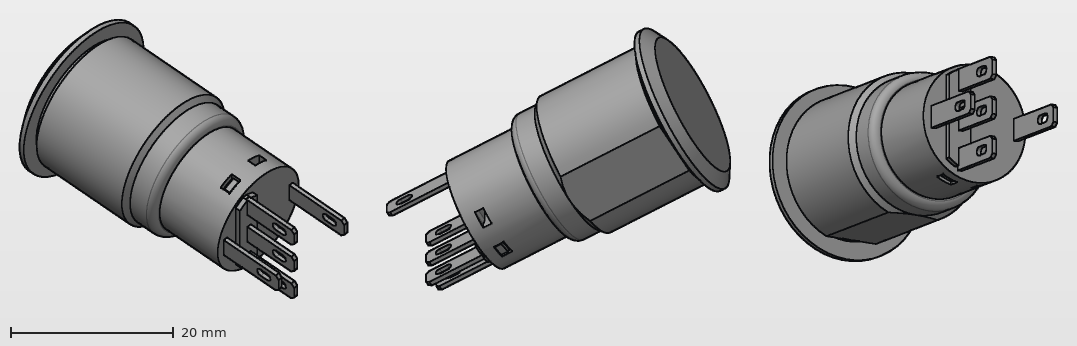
import cadquery as cq
import math


length = 39.8
rim_start_x = 1.15
rim_end_x = 1.87
thread_start_x = 2.6
thread_end_x = 17.4
collar_end_x = 21.15
housing_end_x = 30.73
block_end_x = 31.45

face_radius = 9.2
bezel_radius = 22.0 / 2
neck_radius = 8.7
thread_radius = 9.45
thread_chamfer = thread_radius - neck_radius
collar_round = 1.07
housing_radius = 14.9 / 2

window_start_x = 27.7
window_length = 1.45
window_width = 2.03
window_offset_y = 2.5
window_floor_radius = 12.8 / 2
tab_radius = 7.25
tab_gap_x = 0.25
tab_gap_y = 0.2
tab_nose_chamfer = 0.25
slot_length = 0.95
slot_flare = 0.25
slot_flare_start_z = 5.57
slot_flare_end_z = 6.35

block_front_y = -4.15
block_back_y = -1.0
block_front_top_z = 5.57
block_front_bottom_z = -4.98
block_back_top_z = 5.8
block_bottom_z = -5.8

pin_width = 2.8
pin_thickness = 0.6
pin_tip_chamfer = 0.48
pin_hole_width = 1.1
pin_hole_length = 2.2
pin_hole_to_tip = 2.45
outer_pin_y = 6.0
row_pin_y = -2.45
row_pin_pitch = 5.0
row_pin_start_x = 31.2
row_pin_end_x = 39.15


def box_between(x0, x1, y0, y1, z0, z1):
    size = (x1 - x0, y1 - y0, z1 - z0)
    return cq.Workplane("XY").box(*size, centered=False).translate((x0, y0, z0))


def turned_body():
    round_centre_x = collar_end_x - collar_round
    round_centre_r = neck_radius - collar_round
    round_mid = collar_round * math.sqrt(0.5)
    return (
        cq.Workplane("XY")
        .lineTo(0, face_radius)
        .lineTo(rim_start_x, bezel_radius)
        .lineTo(rim_end_x, bezel_radius)
        .lineTo(rim_end_x, neck_radius)
        .lineTo(thread_start_x, neck_radius)
        .lineTo(thread_start_x, thread_radius)
        .lineTo(thread_end_x - thread_chamfer, thread_radius)
        .lineTo(thread_end_x, neck_radius)
        .lineTo(round_centre_x, neck_radius)
        .threePointArc(
            (round_centre_x + round_mid, round_centre_r + round_mid),
            (collar_end_x, round_centre_r),
        )
        .lineTo(collar_end_x, housing_radius)
        .lineTo(housing_end_x, housing_radius)
        .lineTo(housing_end_x, 0)
        .close()
        .revolve(360, (0, 0, 0), (1, 0, 0))
    )


def barrel_flat():
    """Material below the flat on the underside of the threaded barrel."""
    return box_between(
        thread_start_x, thread_end_x,
        -thread_radius, thread_radius,
        -thread_radius, -neck_radius,
    )


def axial_cylinder(radius):
    return cq.Workplane("YZ").circle(radius).extrude(length)


def window_pockets():
    """Upper and lower pockets on the -Y side, down to the inner core."""
    opening = box_between(
        window_start_x, window_start_x + window_length,
        -window_offset_y - window_width / 2, -window_offset_y + window_width / 2,
        -housing_radius, housing_radius,
    )
    return opening.cut(axial_cylinder(window_floor_radius))


def window_tabs():
    """Snap tabs filling most of each pocket, with a chamfered nose."""
    nose_x = window_start_x + tab_gap_x
    end_x = window_start_x + window_length
    half_width = window_width / 2 - tab_gap_y
    tab_ring = (
        cq.Workplane("XY")
        .moveTo(nose_x, 0)
        .lineTo(nose_x, tab_radius - tab_nose_chamfer)
        .lineTo(nose_x + tab_nose_chamfer, tab_radius)
        .lineTo(end_x, tab_radius)
        .lineTo(end_x, 0)
        .close()
        .revolve(360, (0, 0, 0), (1, 0, 0))
    )
    strip = box_between(
        nose_x, end_x,
        -window_offset_y - half_width, -window_offset_y + half_width,
        -housing_radius, housing_radius,
    )
    return tab_ring.intersect(strip)


def through_slot():
    """Slot on the +Y side, open from top to bottom, with flared mouths."""
    slot_end_x = window_start_x + slot_length
    mouth_end_x = slot_end_x + slot_flare
    return (
        cq.Workplane("XZ", origin=(0, window_offset_y - window_width / 2, 0))
        .polyline([
            (window_start_x, -housing_radius),
            (mouth_end_x, -housing_radius),
            (mouth_end_x, -slot_flare_end_z),
            (slot_end_x, -slot_flare_start_z),
            (slot_end_x, slot_flare_start_z),
            (mouth_end_x, slot_flare_end_z),
            (mouth_end_x, housing_radius),
            (window_start_x, housing_radius),
        ])
        .close()
        .extrude(-window_width)
    )


def terminal_block():
    """Block behind the housing; its front corners are rounded about the switch axis."""
    row_front_y = row_pin_y - pin_thickness / 2
    row_back_y = row_pin_y + pin_thickness / 2
    top_radius = math.hypot(block_front_y, block_front_top_z)
    top_z = math.sqrt(top_radius**2 - row_front_y**2)
    bottom_radius = math.hypot(block_front_y, block_front_bottom_z)
    bottom_corner_y = -math.sqrt(bottom_radius**2 - block_bottom_z**2)
    return (
        cq.Workplane("YZ", origin=(housing_end_x, 0, 0))
        .moveTo(block_front_y, block_front_bottom_z)
        .lineTo(block_front_y, block_front_top_z)
        .radiusArc((row_front_y, top_z), top_radius)
        .lineTo(row_back_y, top_z)
        .lineTo(block_back_y, block_back_top_z)
        .lineTo(block_back_y, block_bottom_z)
        .lineTo(bottom_corner_y, block_bottom_z)
        .radiusArc((block_front_y, block_front_bottom_z), bottom_radius)
        .close()
        .extrude(block_end_x - housing_end_x)
    )


def solder_pin(start_x, end_x, y, z):
    blade = (
        box_between(
            start_x, end_x,
            y - pin_thickness / 2, y + pin_thickness / 2,
            z - pin_width / 2, z + pin_width / 2,
        )
        .edges("|Y and >X")
        .chamfer(pin_tip_chamfer)
    )
    hole = (
        cq.Workplane("XZ", origin=(0, y, 0))
        .center(end_x - pin_hole_to_tip, z)
        .slot2D(pin_hole_length, pin_hole_width)
        .extrude(pin_thickness, both=True)
    )
    return blade.cut(hole)


result = (
    turned_body()
    .cut(barrel_flat())
    .cut(window_pockets())
    .union(window_tabs())
    .cut(through_slot())
    .union(terminal_block())
)

for pin_y in (-outer_pin_y, outer_pin_y):
    result = result.union(solder_pin(housing_end_x, length, pin_y, 0))

for pin_z in (-row_pin_pitch, 0, row_pin_pitch):
    result = result.union(solder_pin(row_pin_start_x, row_pin_end_x, row_pin_y, pin_z))